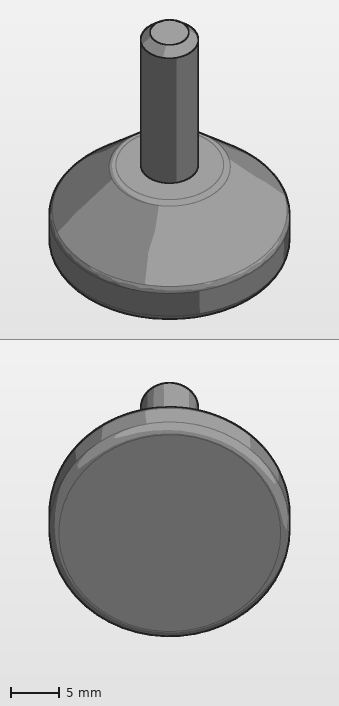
import cadquery as cq

total_height = 29.0
base_diameter = 25.0
base_height = 11.0
stud_diameter = 6.0

top_diameter = 12.0
taper_height = (base_diameter - top_diameter) / 2
rim_height = base_height - taper_height

edge_radius = 1.0
tip_chamfer = 1.0


def make_base():
    """Round foot: a cylindrical rim below a cone, with every edge rounded."""
    rim_radius = base_diameter / 2
    profile = (
        cq.Workplane("XZ")
        .moveTo(0, 0)
        .lineTo(rim_radius, 0)
        .lineTo(rim_radius, rim_height)
        .lineTo(top_diameter / 2, base_height)
        .lineTo(0, base_height)
        .close()
    )
    foot = profile.revolve(360, (0, 0, 0), (0, 1, 0))
    return foot.edges("%CIRCLE").fillet(edge_radius)


def make_stud():
    """Upright stud standing on the flat top of the base, with a chamfered tip."""
    stud = (
        cq.Workplane("XY")
        .workplane(offset=base_height)
        .circle(stud_diameter / 2)
        .extrude(total_height - base_height)
    )
    return stud.faces(">Z").edges().chamfer(tip_chamfer)


base = make_base()
stud = make_stud()

result = cq.Compound.makeCompound([base.val(), stud.val()])